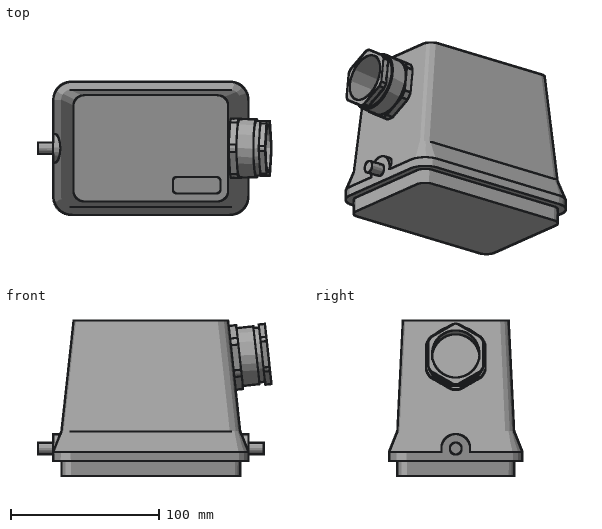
import cadquery as cq
import math

overall_length = 157.6

base_length = 120.7
base_width = 79.0
base_corner_radius = 7.1
base_height = 10.1
flange_overhang = 5.5
flange_top_z = 16.4

hood_bottom_z = 30.1
hood_top_z = 105.0
hood_top_length = 104.3
hood_top_width = 71.5

pin_diameter = 8.0
pin_z = 18.6
boss_radius = 9.8

gland_z = 79.7
inner_nut_flats = 40.0
inner_nut_corners = 43.5
inner_nut_end = 5.0
collar_diameter = 39.4
collar_end = 16.4
neck_diameter = 37.0
neck_end = 20.2
outer_nut_flats = neck_diameter
outer_nut_corners = 41.0
gland_length = 24.5
bore_diameter = 32.0
wall_overlap = 1.5

label_length = 32.0
label_width = 11.0
label_corner_radius = 2.5
label_depth = 0.5
label_x = 30.9
label_y = -24.9

flange_length = base_length + 2 * flange_overhang
flange_width = base_width + 2 * flange_overhang
flange_corner_radius = base_corner_radius + flange_overhang
wall_run = (base_length - hood_top_length) / 2
wall_rise = hood_top_z - hood_bottom_z
wall_tilt = math.atan2(wall_run, wall_rise)
gland_root_x = base_length / 2 - wall_run * (gland_z - hood_bottom_z) / wall_rise
gland_reach_x = (
    gland_root_x
    + gland_length * math.cos(wall_tilt)
    + outer_nut_corners / 2 * math.sin(wall_tilt)
)
pin_tip_x = overall_length - gland_reach_x


def rounded_block(length, width, corner_radius, bottom, top):
    """Upright block with rounded vertical edges, centred on the Z axis."""
    block = cq.Workplane("XY").workplane(offset=bottom).rect(length, width).extrude(top - bottom)
    return block.edges("|Z").fillet(corner_radius)


def rounded_outline(length, width, corner_radius):
    return cq.Sketch().rect(length, width).vertices().fillet(corner_radius)


def tapered_block(bottom_outline, bottom, top_outline, top):
    """Straight-sided transition between two rounded rectangles."""
    lower = bottom_outline.moved(cq.Location(cq.Vector(0, 0, bottom)))
    upper = top_outline.moved(cq.Location(cq.Vector(0, 0, top)))
    return cq.Workplane("XY").placeSketch(lower, upper).loft(ruled=True)


def make_housing():
    base_outline = rounded_outline(base_length, base_width, base_corner_radius)
    flange_outline = rounded_outline(flange_length, flange_width, flange_corner_radius)
    top_outline = rounded_outline(hood_top_length, hood_top_width, base_corner_radius)

    base = rounded_block(base_length, base_width, base_corner_radius, 0, base_height)
    flange = rounded_block(flange_length, flange_width, flange_corner_radius, base_height, flange_top_z)
    shoulder = tapered_block(flange_outline, flange_top_z, base_outline, hood_bottom_z)
    hood = tapered_block(base_outline, hood_bottom_z, top_outline, hood_top_z)
    return base.union(flange).union(shoulder).union(hood)


def make_locking_pins():
    """Pins and bosses running through both ends; the bosses stop flush with the flange."""
    end_plane = cq.Workplane("YZ").center(0, pin_z)
    boss_bar = end_plane.circle(boss_radius).extrude(flange_length / 2, both=True)
    below_flange = cq.Workplane("XY").box(
        flange_length, flange_width, base_height, centered=(True, True, False)
    )
    pin_bar = end_plane.circle(pin_diameter / 2).extrude(pin_tip_x, both=True)
    return boss_bar.cut(below_flange).union(pin_bar)


gland_plane = cq.Plane(
    origin=(gland_root_x, 0, gland_z),
    xDir=(0, 1, 0),
    normal=(math.cos(wall_tilt), 0, math.sin(wall_tilt)),
)


def gland_disc(diameter, start, end):
    return cq.Workplane(gland_plane).workplane(offset=start).circle(diameter / 2).extrude(end - start)


def gland_nut(across_flats, corner_diameter, start, end):
    """Hexagon with two flats facing along Y and its corners turned down to a cylinder."""
    hexagon = (
        cq.Workplane(gland_plane)
        .workplane(offset=start)
        .polygon(6, across_flats, circumscribed=True)
        .extrude(end - start)
    )
    return hexagon.intersect(gland_disc(corner_diameter, start, end))


def make_gland():
    inner_nut = gland_nut(inner_nut_flats, inner_nut_corners, -wall_overlap, inner_nut_end)
    collar = gland_disc(collar_diameter, inner_nut_end, collar_end)
    neck = gland_disc(neck_diameter, collar_end, neck_end)
    outer_nut = gland_nut(outer_nut_flats, outer_nut_corners, neck_end, gland_length)
    return inner_nut.union(collar).union(neck).union(outer_nut)


def make_label_recess():
    recess = rounded_block(
        label_length, label_width, label_corner_radius, hood_top_z - label_depth, hood_top_z
    )
    return recess.translate((label_x, label_y, 0))


gland_bore = gland_disc(bore_diameter, 0, gland_length)

body = make_housing().union(make_locking_pins()).union(make_gland())
result = body.cut(gland_bore).cut(make_label_recess())